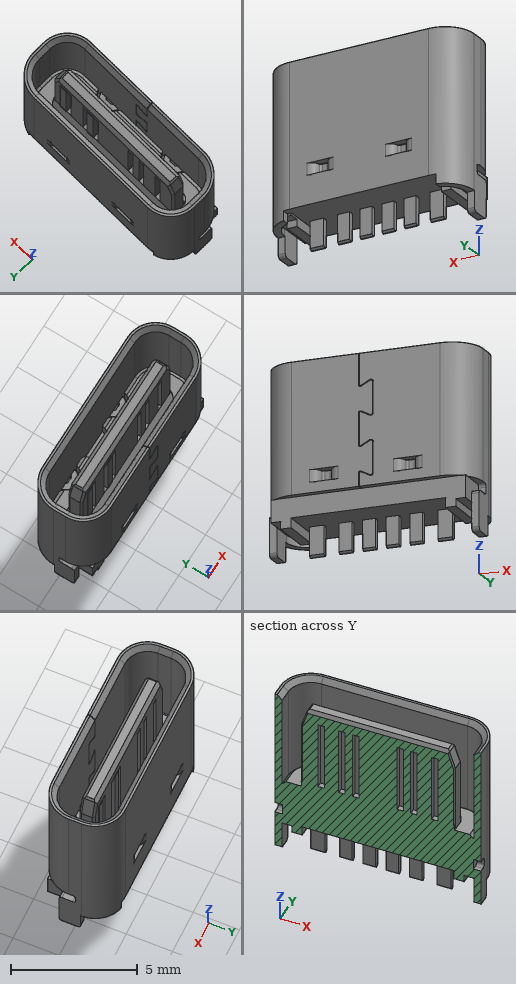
import cadquery as cq
import math


LENGTH = 8.94
DEPTH = 3.18
TOP_Z = 7.7
CORNER_R = 1.305
WALL = 0.32
MOUTH_CHAMFER = 0.215
SHELL_BACK_Z = 0.885
SHELL_REAR_MIDDLE_Z = 1.305
SHELL_FRONT_Z = 2.155
REAR_NOTCH_HALF = 3.47
INNER_X = LENGTH / 2 - WALL
INNER_Y = DEPTH / 2 - WALL

LEG_FRONT_Y = -0.7
LEG_BACK_Y = 0.24
LEG_TOP_Z = 1.7
SLOT_END_Y = 0.03
SLOT_R = 0.13
LEG_TIP_R = 0.16

SEAM_X = -0.3
SEAM_GAP = 0.03
DOVETAIL_LENGTH = 0.59
DOVETAIL_NECK = 0.93
DOVETAIL_FLARE = 0.3
DOVETAIL_R = 0.07
DOVETAIL_CENTERS_Z = (5.8, 3.3)

DENT_X = 1.79
DENT_HALF = 0.6
DENT_BOTTOM_Z = 2.59
DENT_TOP_Z = 3.11
DENT_DEPTH = 0.38
DENT_FLOOR_HALF = 0.11
DENT_FLOOR_ARC_SHARE = 0.2
BUMP_BASE_HALF = 0.5
BUMP_TIP_HALF = 0.3
BUMP_TIP_Y = 0.93
BUMP_R = 0.36

FLOOR_Z = 3.4
FLOOR_CHAMFER = 0.16
HOUSING_FRONT_Y = -1.33
HOUSING_SIDE_Z = 1.21
HOUSING_MIDDLE_Z = 1.305
FOOT_INNER_X = 3.29
FOOT_OUTER_X = 3.74
FOOT_BACK_Y = 0.805
FOOT_Z = 0.89
CLIP_NOTCH = (0.63, 0.375, 0.84)
KEY_NOTCH = (0.77, 0.53, 0.74)

TONGUE_TOP_Z = 7.33
TONGUE_HALF_X = 3.335
TONGUE_HALF_Y = 0.33
TIP_HALF_Y = 0.17
TIP_BEVEL_Z = 0.2
SHOULDER_HALF_X = 3.08
SHOULDER_BEVEL = 0.08
SHOULDER_SLOPE_Z = 0.76
TONGUE_CORNER = 0.1
BASE_HALF_Y = 0.58
BASE_CORNER_R = 0.36
BASE_HEIGHT = 0.22
BASE_TOP_Z = FLOOR_Z + BASE_HEIGHT

CONTACT_X = 1.26
OUTER_CONTACT_X = 2.76
CONTACT_WIDTH = 0.34
CONTACT_RAISE = 0.03
CONTACT_TOP_Z = 6.79
CONTACT_POCKET_WIDTH = 0.26
CONTACT_POCKET_DEPTH = 0.27
CONTACT_POCKET_TOP_Z = 6.73

PIN_XS_AND_WIDTHS = ((0.5, 0.545), (1.51, 0.545), (2.74, 0.62))
PIN_FRONT_Y = -0.02
PIN_BACK_Y = 0.2
PIN_TIP_Z = 0.04
PIN_CHAMFER = 0.08

OVERLAP = 0.09


def block(x0, x1, y0, y1, z0, z1):
    return cq.Workplane("XY").box(x1 - x0, y1 - y0, z1 - z0, centered=False).translate((x0, y0, z0))


def rounded_prism(inset, z0, z1):
    """Prism with the shell outline moved inwards by inset."""
    half_x = LENGTH / 2 - inset
    half_y = DEPTH / 2 - inset
    return block(-half_x, half_x, -half_y, half_y, z0, z1).edges("|Z").fillet(CORNER_R - inset)


def plan_prism(points, z0, z1):
    return cq.Workplane("XY").polyline(points).close().extrude(z1 - z0).translate((0, 0, z0))


def on_both_ends(body):
    return body.union(body.mirror("YZ"))


def make_shell():
    mouth = rounded_prism(WALL - MOUTH_CHAMFER, SHELL_BACK_Z, TOP_Z).faces(">Z").wires().toPending()
    lead_in = mouth.workplane().extrude(-MOUTH_CHAMFER, combine=False, taper=45)
    shell = rounded_prism(0, SHELL_BACK_Z, TOP_Z).cut(rounded_prism(WALL, SHELL_BACK_Z, TOP_Z)).cut(lead_in)
    slot = block(-LENGTH, LENGTH, -DEPTH, SLOT_END_Y, LEG_TOP_Z, SHELL_FRONT_Z)
    shell = shell.cut(slot.edges("|X and >Y").fillet(SLOT_R))
    shell = shell.cut(block(-LENGTH, LENGTH, -DEPTH, SLOT_END_Y, 0, LEG_TOP_Z))
    shell = shell.cut(block(-REAR_NOTCH_HALF, REAR_NOTCH_HALF, SLOT_END_Y, DEPTH, 0, SHELL_REAR_MIDDLE_Z))
    return shell.cut(make_seam()).union(on_both_ends(make_leg()))


def make_seam():
    """Narrow dovetailed gap: a band of even width along the edge of the left wall panel."""
    points = [(SEAM_X, TOP_Z + OVERLAP)]
    for z in DOVETAIL_CENTERS_Z:
        neck = DOVETAIL_NECK / 2
        tip = neck + DOVETAIL_FLARE
        points += [
            (SEAM_X, z + neck),
            (SEAM_X + DOVETAIL_LENGTH, z + tip),
            (SEAM_X + DOVETAIL_LENGTH, z - tip),
            (SEAM_X, z - neck),
        ]
    points += [
        (SEAM_X, SHELL_FRONT_Z - OVERLAP),
        (-CORNER_R, SHELL_FRONT_Z - OVERLAP),
        (-CORNER_R, TOP_Z + OVERLAP),
    ]
    panel = cq.Workplane("XZ").polyline(points).close().extrude(DEPTH)
    dovetails = cq.selectors.BoxSelector(
        (SEAM_X - OVERLAP, -2 * DEPTH, SHELL_FRONT_Z), (LENGTH, DEPTH, TOP_Z)
    )
    panel = panel.edges("|Y").edges(dovetails).fillet(DOVETAIL_R)
    outline = panel.faces("<Y").wires().toPending().workplane()
    widened = outline.offset2D(SEAM_GAP).extrude(-DEPTH, combine=False)
    return widened.cut(panel).cut(block(-LENGTH, SEAM_X - OVERLAP, -2 * DEPTH, DEPTH, 0, 2 * TOP_Z))


def make_leg():
    leg = block(INNER_X, LENGTH / 2, LEG_FRONT_Y, LEG_BACK_Y, 0, LEG_TOP_Z)
    leg = leg.edges("|X and >Z and <Y").fillet(SLOT_R)
    return leg.edges("|X and <Z").fillet(LEG_TIP_R)


def wall_notch(base_half, end_half, end_y):
    """Trapezoidal recess that opens towards the rear wall."""
    points = [(-base_half, INNER_Y), (-end_half, end_y), (end_half, end_y), (base_half, INNER_Y)]
    return plan_prism(points, DENT_BOTTOM_Z, FLOOR_Z)


def make_housing():
    upper = rounded_prism(WALL, HOUSING_SIDE_Z, FLOOR_Z).faces(">Z").chamfer(FLOOR_CHAMFER)
    front = block(-INNER_X, INNER_X, HOUSING_FRONT_Y, 0, HOUSING_SIDE_Z, SHELL_FRONT_Z)
    underside = block(-FOOT_INNER_X, FOOT_INNER_X, -DEPTH, DEPTH, 0, HOUSING_MIDDLE_Z)
    foot = block(FOOT_INNER_X, FOOT_OUTER_X, HOUSING_FRONT_Y, FOOT_BACK_Y, FOOT_Z, HOUSING_MIDDLE_Z)
    housing = upper.union(front).cut(underside).union(on_both_ends(foot))
    return housing.cut(wall_notch(*KEY_NOTCH))


def mirrored_outline(half):
    """Closed outline from its left half, given as points from bottom to top."""
    return half + [(-u, z) for u, z in reversed(half)]


def make_tongue():
    tip_bevel = [(-TONGUE_HALF_Y, TONGUE_TOP_Z - TIP_BEVEL_Z), (-TIP_HALF_Y, TONGUE_TOP_Z)]
    side = mirrored_outline([(-TONGUE_HALF_Y, FLOOR_Z - OVERLAP)] + tip_bevel)
    blade = cq.Workplane("YZ").polyline(side).close().extrude(TONGUE_HALF_X, both=True)

    shoulder_z = TONGUE_TOP_Z - SHOULDER_BEVEL
    face = mirrored_outline([
        (-TONGUE_HALF_X, FLOOR_Z - OVERLAP),
        (-TONGUE_HALF_X, shoulder_z - SHOULDER_SLOPE_Z),
        (-SHOULDER_HALF_X, shoulder_z),
        (SHOULDER_BEVEL - SHOULDER_HALF_X, TONGUE_TOP_Z),
    ])
    blade = blade.intersect(cq.Workplane("XZ").polyline(face).close().extrude(BASE_HALF_Y, both=True))
    for end in (-1, 1):
        end_edges = cq.selectors.BoxSelector(
            (end * SHOULDER_HALF_X, -DEPTH, FLOOR_Z), (end * LENGTH, DEPTH, TONGUE_TOP_Z - TIP_BEVEL_Z)
        )
        blade = blade.edges("(not |X) and (not |Y)").edges(end_edges).chamfer(TONGUE_CORNER)
    return add_contacts(blade.union(make_tongue_base()))


def make_tongue_base():
    half = [(-BASE_HALF_Y, FLOOR_Z - OVERLAP), (-BASE_HALF_Y, FLOOR_Z), (-TONGUE_HALF_Y, BASE_TOP_Z)]
    base = cq.Workplane("YZ").polyline(mirrored_outline(half)).close().extrude(TONGUE_HALF_X, both=True)
    plan = block(-TONGUE_HALF_X, TONGUE_HALF_X, -BASE_HALF_Y, BASE_HALF_Y, FLOOR_Z - OVERLAP, BASE_TOP_Z)
    return base.intersect(plan.edges("|Z").fillet(BASE_CORNER_R))


def front_block(x, width, raise_by, top_z):
    """Block reaching into the front face of the tongue and standing out of it by raise_by."""
    front = -TONGUE_HALF_Y
    return block(
        x - width / 2, x + width / 2, front - raise_by, front + CONTACT_POCKET_DEPTH, BASE_TOP_Z, top_z
    )


def add_contacts(tongue):
    """Pockets beside the contacts; raised contacts on one half, alike after a half turn about Z."""
    spacing = (CONTACT_WIDTH + CONTACT_POCKET_WIDTH) / 2
    pocket_xs = (CONTACT_X - spacing, CONTACT_X + spacing, OUTER_CONTACT_X - spacing)
    for turn in (0, 180):
        for x in pocket_xs:
            pocket = on_both_ends(front_block(x, CONTACT_POCKET_WIDTH, OVERLAP, CONTACT_POCKET_TOP_Z))
            tongue = tongue.cut(pocket.rotate((0, 0, 0), (0, 0, 1), turn))
        for x in (-CONTACT_X, -OUTER_CONTACT_X):
            contact = front_block(x, CONTACT_WIDTH, CONTACT_RAISE, CONTACT_TOP_Z)
            tongue = tongue.union(contact.rotate((0, 0, 0), (0, 0, 1), turn))
    return tongue


def make_bump():
    """Pressed-in strip on the inside of the rear wall, centred on X = 0."""
    points = [
        (-BUMP_BASE_HALF, INNER_Y + OVERLAP),
        (-BUMP_BASE_HALF, INNER_Y),
        (-BUMP_TIP_HALF, BUMP_TIP_Y),
        (BUMP_TIP_HALF, BUMP_TIP_Y),
        (BUMP_BASE_HALF, INNER_Y),
        (BUMP_BASE_HALF, INNER_Y + OVERLAP),
    ]
    return plan_prism(points, DENT_BOTTOM_Z, DENT_TOP_Z).edges("|Z and <Y").fillet(BUMP_R)


def make_dent():
    """Pocket in the outside of the rear wall; each flank is an S of two tangent arcs."""
    outer_y = DEPTH / 2
    floor_y = outer_y - DENT_DEPTH
    run = DENT_HALF - DENT_FLOOR_HALF
    radii_sum = (run**2 + DENT_DEPTH**2) / (2 * DENT_DEPTH)
    floor_r = radii_sum * DENT_FLOOR_ARC_SHARE
    rim_r = radii_sum - floor_r
    sweep = math.asin(run / radii_sum)

    def on_rim_arc(angle):
        return DENT_HALF - rim_r * math.sin(angle), outer_y - rim_r * (1 - math.cos(angle))

    def on_floor_arc(angle):
        return DENT_FLOOR_HALF + floor_r * math.sin(angle), floor_y + floor_r * (1 - math.cos(angle))

    flank = (
        cq.Workplane("XY")
        .moveTo(0, floor_y)
        .lineTo(DENT_FLOOR_HALF, floor_y)
        .threePointArc(on_floor_arc(sweep / 2), on_floor_arc(sweep))
        .threePointArc(on_rim_arc(sweep / 2), (DENT_HALF, outer_y))
        .lineTo(0, outer_y)
        .close()
        .extrude(DENT_TOP_Z - DENT_BOTTOM_Z)
    )
    return on_both_ends(flank).translate((0, 0, DENT_BOTTOM_Z))


def at_every_dent(feature):
    """Copies of a rear-wall feature at both dents of both long walls."""
    rear = on_both_ends(feature.translate((DENT_X, 0, 0)))
    return rear.union(rear.mirror("XZ"))


def make_pin(x, width):
    root_z = HOUSING_MIDDLE_Z + OVERLAP
    pin = block(x - width / 2, x + width / 2, PIN_FRONT_Y, PIN_BACK_Y, PIN_TIP_Z, root_z)
    return pin.edges("|X and <Z").chamfer(PIN_CHAMFER)


result = make_housing().cut(at_every_dent(wall_notch(*CLIP_NOTCH)))
result = result.union(make_tongue()).union(make_shell())
result = result.union(at_every_dent(make_bump())).cut(at_every_dent(make_dent()))
for pin_x, pin_width in PIN_XS_AND_WIDTHS:
    result = result.union(on_both_ends(make_pin(pin_x, pin_width)))